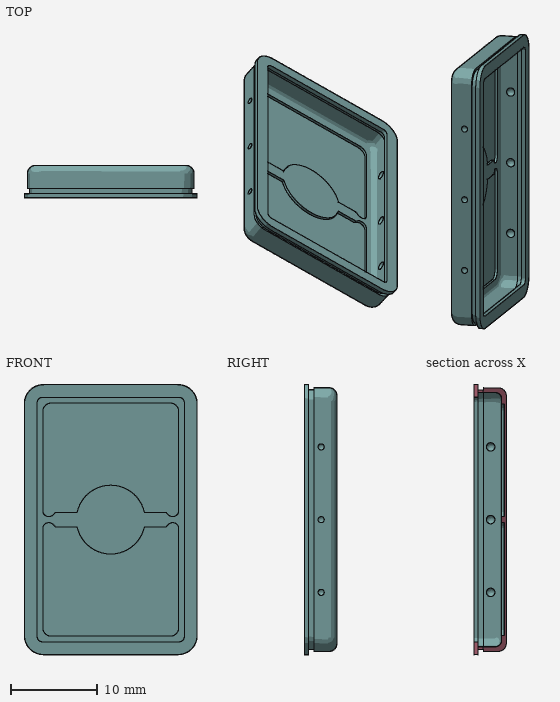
import cadquery as cq
import math

FRAME_WIDTH = 20.1
FRAME_HEIGHT = 31.4
FRAME_THICKNESS = 0.5
FRAME_CORNER = 2.25
FRAME_BORDER = 1.5
OPENING_WIDTH = FRAME_WIDTH - 2 * FRAME_BORDER
OPENING_HEIGHT = FRAME_HEIGHT - 2 * FRAME_BORDER
OPENING_CORNER = 0.6
TOTAL_DEPTH = 3.8

CASE_INSET = 0.35
CASE_WIDTH = FRAME_WIDTH - 2 * CASE_INSET
CASE_HEIGHT = FRAME_HEIGHT - 2 * CASE_INSET
CASE_CORNER = 1.6
CASE_FRONT = 1.1
CASE_BACK_FILLET = 1.0
WALL = 0.6
CAVITY_WIDTH = CASE_WIDTH - 2 * WALL
CAVITY_HEIGHT = CASE_HEIGHT - 2 * WALL
CAVITY_CORNER = 1.25
CAVITY_FILLET = 0.7
FLOOR = TOTAL_DEPTH - WALL

SPACER_INSET = 0.6
SPACER_WIDTH = FRAME_WIDTH - 2 * SPACER_INSET
SPACER_HEIGHT = FRAME_HEIGHT - 2 * SPACER_INSET
SPACER_CORNER = FRAME_CORNER - SPACER_INSET

POCKET_DEPTH = 0.3
POCKET_MARGIN = 0.5
POCKET_HALF_WIDTH = CAVITY_WIDTH / 2 - CAVITY_FILLET - POCKET_MARGIN
POCKET_END = CAVITY_HEIGHT / 2 - CAVITY_FILLET - POCKET_MARGIN
POCKET_CORNER = 1.0
PAD_RADIUS = 4.0
BAR_HALF_HEIGHT = 0.85
LOBE_RADIUS = 0.7
LOBE_BOTTOM = 0.35
LOBE_SWEEP = 135

DIMPLE_RADIUS = 0.5
DIMPLE_PITCH = 8.45
DIMPLE_COUNT = 3
DIMPLE_CENTRE_Y = (CASE_FRONT + TOTAL_DEPTH - CASE_BACK_FILLET) / 2
INNER_DIMPLE_SHIFT = 0.1
OUTER_DIMPLE_X = FRAME_WIDTH / 2
INNER_DIMPLE_X = CAVITY_WIDTH / 2 - INNER_DIMPLE_SHIFT


def rounded_block(width, height, corner, front, back):
    """Block centred on the Y axis, with rounded corners, from Y = front to Y = back."""
    return (
        cq.Workplane("XZ", origin=(0, front, 0))
        .rect(width, height)
        .extrude(front - back)
        .edges("|Y")
        .fillet(corner)
    )


def make_frame():
    outer = rounded_block(FRAME_WIDTH, FRAME_HEIGHT, FRAME_CORNER, 0, FRAME_THICKNESS)
    opening = rounded_block(OPENING_WIDTH, OPENING_HEIGHT, OPENING_CORNER, 0, FRAME_THICKNESS)
    return outer.cut(opening)


def make_spacer():
    outer = rounded_block(SPACER_WIDTH, SPACER_HEIGHT, SPACER_CORNER, FRAME_THICKNESS, CASE_FRONT)
    opening = rounded_block(CAVITY_WIDTH, CAVITY_HEIGHT, CAVITY_CORNER, FRAME_THICKNESS, CASE_FRONT)
    return outer.cut(opening)


def make_upper_pocket():
    """Pocket above the bar: its lower edge steps over the pad and drops into a lobe at each end."""
    lobe_x = POCKET_HALF_WIDTH - LOBE_RADIUS
    lobe_z = LOBE_BOTTOM + LOBE_RADIUS

    def lobe_point(angle):
        """X and Z of a point on the right lobe, at an angle turned down from +X."""
        turn = math.radians(angle)
        return lobe_x + LOBE_RADIUS * math.cos(turn), lobe_z - LOBE_RADIUS * math.sin(turn)

    ramp_x, ramp_z = lobe_point(LOBE_SWEEP)
    lobe_mid_x, lobe_mid_z = lobe_point(LOBE_SWEEP / 2)
    bar_end_x = ramp_x - (BAR_HALF_HEIGHT - ramp_z)
    pad_x = math.sqrt(PAD_RADIUS**2 - BAR_HALF_HEIGHT**2)
    return (
        cq.Workplane("XZ", origin=(0, FLOOR, 0))
        .moveTo(-POCKET_HALF_WIDTH, POCKET_END)
        .lineTo(-POCKET_HALF_WIDTH, lobe_z)
        .threePointArc((-lobe_mid_x, lobe_mid_z), (-ramp_x, ramp_z))
        .lineTo(-bar_end_x, BAR_HALF_HEIGHT)
        .lineTo(-pad_x, BAR_HALF_HEIGHT)
        .threePointArc((0, PAD_RADIUS), (pad_x, BAR_HALF_HEIGHT))
        .lineTo(bar_end_x, BAR_HALF_HEIGHT)
        .lineTo(ramp_x, ramp_z)
        .threePointArc((lobe_mid_x, lobe_mid_z), (POCKET_HALF_WIDTH, lobe_z))
        .lineTo(POCKET_HALF_WIDTH, POCKET_END)
        .close()
        .extrude(-POCKET_DEPTH)
        .edges("|Y and >Z")
        .fillet(POCKET_CORNER)
    )


def make_dimple_balls():
    balls = cq.Workplane("XY")
    for x in (OUTER_DIMPLE_X, INNER_DIMPLE_X):
        for side in (-1, 1):
            for index in range(DIMPLE_COUNT):
                z = (index - (DIMPLE_COUNT - 1) / 2) * DIMPLE_PITCH
                ball = cq.Workplane("XY", origin=(side * x, DIMPLE_CENTRE_Y, z)).sphere(DIMPLE_RADIUS)
                balls = balls.add(ball)
    return balls


def make_case():
    case = rounded_block(CASE_WIDTH, CASE_HEIGHT, CASE_CORNER, CASE_FRONT, TOTAL_DEPTH)
    case = case.faces(">Y").edges().fillet(CASE_BACK_FILLET)
    cavity = rounded_block(CAVITY_WIDTH, CAVITY_HEIGHT, CAVITY_CORNER, CASE_FRONT, FLOOR)
    cavity = cavity.faces(">Y").edges().fillet(CAVITY_FILLET)
    case = case.cut(cavity)

    upper_pocket = make_upper_pocket()
    case = case.cut(upper_pocket).cut(upper_pocket.mirror("XY"))

    for ball in make_dimple_balls().vals():
        case = case.cut(cq.Workplane(ball), clean=False)
    return case


frame = make_frame()
spacer = make_spacer()
case = make_case()

result = cq.Compound.makeCompound([frame.val(), spacer.val(), case.val()])